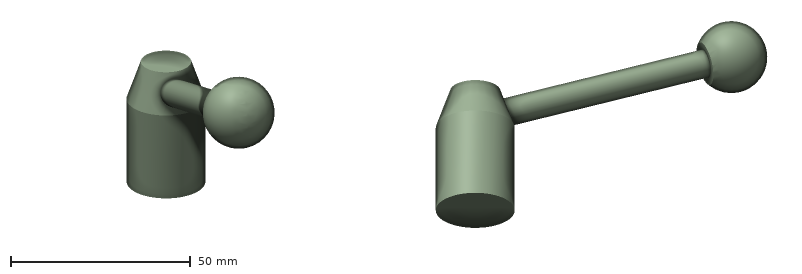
import cadquery as cq
import math

overall_length = 93.6
overall_height = 64.5

hub_diameter = 22.0
hub_top_diameter = 14.0
hub_straight_height = 25.55
hub_height = 37.0

rod_diameter = 8.0
rod_angle = 20.0
ball_diameter = 20.0
ball_flat_distance = 8.0

hub_radius = hub_diameter / 2
ball_radius = ball_diameter / 2
ball_x = overall_length - hub_radius - ball_radius
ball_z = overall_height - ball_radius
rod_length = ball_x / math.cos(math.radians(rod_angle))
rod_start_z = ball_z - ball_x * math.tan(math.radians(rod_angle))


def make_hub():
    """Revolve the half profile of the hub about the Z axis."""
    return (
        cq.Workplane("XZ")
        .lineTo(hub_radius, 0)
        .lineTo(hub_radius, hub_straight_height)
        .lineTo(hub_top_diameter / 2, hub_height)
        .lineTo(0, hub_height)
        .close()
        .revolve(360, (0, 0, 0), (0, 1, 0))
    )


def make_lever():
    """Build the rod and flat-backed ball along X, then tilt and lift them."""
    rod = cq.Workplane("YZ").circle(rod_diameter / 2).extrude(rod_length)
    kept_ball = (
        cq.Workplane("YZ")
        .workplane(offset=rod_length - ball_flat_distance)
        .rect(ball_diameter, ball_diameter)
        .extrude(ball_flat_distance + ball_radius)
    )
    ball = cq.Workplane("XY").sphere(ball_radius).translate((rod_length, 0, 0))
    lever = rod.union(ball.intersect(kept_ball))
    return lever.rotate((0, 0, 0), (0, 1, 0), -rod_angle).translate((0, 0, rod_start_z))


result = make_hub().union(make_lever())